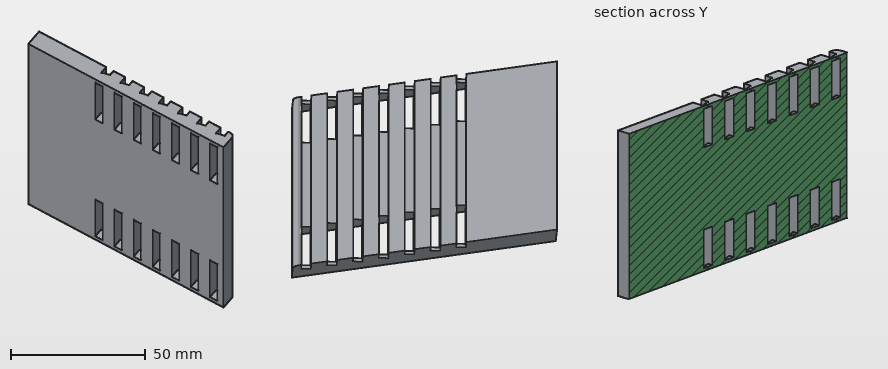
import cadquery as cq
import math

length = 105.5
thickness = 9.0
height = 70.0
lean_angle = 20.0
nose_radius = 3.0

groove_count = 7
groove_row = 60.0
groove_width = 3.6
groove_wall = 4.3
first_groove_x = 35.1

window_height = 16.0
window_margin = 1.5

lean = math.radians(lean_angle)
lean_offset = thickness * math.tan(lean)
groove_pitch = groove_row / (groove_count - 1)
overshoot = 2.1
through_depth = thickness / math.cos(lean) + overshoot
window_bottoms = (window_margin, height - window_margin - window_height)


def plate():
    outline = [
        (0, thickness),
        (lean_offset, 0),
        (length, 0),
        (length - lean_offset, thickness),
    ]
    body = cq.Workplane("XY").polyline(outline).close().extrude(height)
    nose_edge = body.edges("|Z").edges(">Y").edges(">X")
    return nose_edge.fillet(nose_radius)


def leaning_cutter(lip_x, depth, bottom, cutter_height):
    """Slot cutter reaching `depth` along the lean from a left lip on the back face."""
    cutter = cq.Workplane("XY").box(groove_width, depth + overshoot, cutter_height, centered=False)
    cutter = cutter.translate((0, -depth, 0))
    cutter = cutter.rotate((0, 0, 0), (0, 0, 1), lean_angle)
    return cutter.translate((lip_x, thickness, bottom))


result = plate()
for index in range(groove_count):
    lip_x = first_groove_x + index * groove_pitch
    result = result.cut(leaning_cutter(lip_x, groove_wall, 0, height))
    for window_bottom in window_bottoms:
        result = result.cut(leaning_cutter(lip_x, through_depth, window_bottom, window_height))